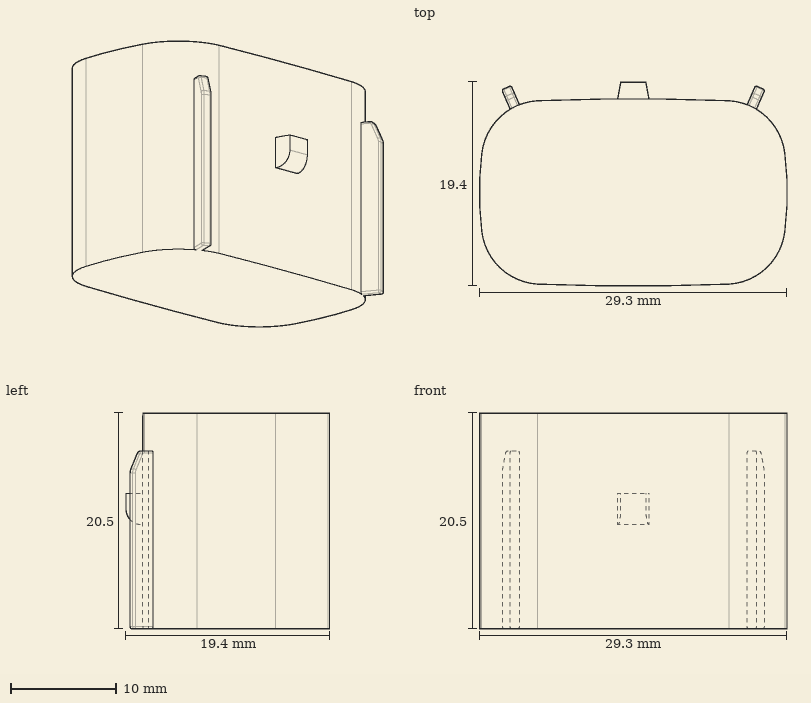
import cadquery as cq
import math

length = 29.28
depth = 17.8
height = 20.5
corner_radius = 5.7
long_side_join = 9.1
short_side_join = 3.72
long_side_sag = 0.18
short_side_sag = 0.23

rib_angle = 23.5
rib_thickness = 1.0
rib_height = 16.92
rib_root_x = 11.25
rib_root_y = 8.08
rib_reach = 2.05
rib_embed = 1.75
rib_slope_run = 0.85
rib_slope_drop = 1.9
rib_upper_bend = 0.45
rib_lower_bend = 1.0
rib_fillet = 0.2

tab_reach = 1.58
tab_base_width = 3.0
tab_tip_width = 2.4
tab_top = 12.88
tab_height = 3.0
tab_lower_radius = tab_height / 2
tab_embed = 0.6


def make_body():
    """Outline of four bulged sides and four corner arcs, raised to the full height."""
    half_length = length / 2
    half_depth = depth / 2
    end_x = half_length - short_side_sag
    side_y = half_depth - long_side_sag
    chord_x = end_x - long_side_join
    chord_y = side_y - short_side_join
    chord = math.hypot(chord_x, chord_y)
    corner_sag = corner_radius - math.sqrt(corner_radius**2 - (chord / 2) ** 2)
    corner_x = (end_x + long_side_join) / 2 + corner_sag * chord_y / chord
    corner_y = (side_y + short_side_join) / 2 + corner_sag * chord_x / chord
    return (
        cq.Workplane("XY")
        .moveTo(end_x, -short_side_join)
        .threePointArc((half_length, 0), (end_x, short_side_join))
        .threePointArc((corner_x, corner_y), (long_side_join, side_y))
        .threePointArc((0, half_depth), (-long_side_join, side_y))
        .threePointArc((-corner_x, corner_y), (-end_x, short_side_join))
        .threePointArc((-half_length, 0), (-end_x, -short_side_join))
        .threePointArc((-corner_x, -corner_y), (-long_side_join, -side_y))
        .threePointArc((0, -half_depth), (long_side_join, -side_y))
        .threePointArc((corner_x, -corner_y), (end_x, -short_side_join))
        .close()
        .extrude(height)
    )


def make_rib():
    """Rib on the +X side, drawn along +Y and then turned outward."""
    slope_top = (0, rib_reach - rib_slope_run, rib_height)
    slope_bottom = (0, rib_reach, rib_height - rib_slope_drop)
    return (
        cq.Workplane("YZ")
        .moveTo(-rib_embed, 0)
        .lineTo(rib_reach, 0)
        .lineTo(rib_reach, rib_height - rib_slope_drop)
        .lineTo(rib_reach - rib_slope_run, rib_height)
        .lineTo(-rib_embed, rib_height)
        .close()
        .extrude(rib_thickness / 2, both=True)
        .edges(cq.NearestToPointSelector(slope_top))
        .fillet(rib_upper_bend)
        .edges(cq.NearestToPointSelector(slope_bottom))
        .fillet(rib_lower_bend)
        .faces("<X or >X or <Z")
        .edges()
        .fillet(rib_fillet)
        .rotate((0, 0, 0), (0, 0, 1), -rib_angle)
        .translate((rib_root_x, rib_root_y, 0))
    )


def make_tab():
    """Side profile with a rounded lower corner, trimmed to a tapered plan."""
    back_y = depth / 2
    tip_y = back_y + tab_reach
    inner_y = back_y - tab_embed
    profile = (
        cq.Workplane("YZ")
        .moveTo(inner_y, tab_top)
        .lineTo(tip_y, tab_top)
        .lineTo(tip_y, tab_top - tab_height + tab_lower_radius)
        .radiusArc((tip_y - tab_lower_radius, tab_top - tab_height), tab_lower_radius)
        .lineTo(inner_y, tab_top - tab_height)
        .close()
        .extrude(tab_base_width, both=True)
    )
    half_base = tab_base_width / 2
    half_tip = tab_tip_width / 2
    plan = (
        cq.Workplane("XY")
        .polyline([
            (-half_base, inner_y),
            (half_base, inner_y),
            (half_base, back_y),
            (half_tip, tip_y),
            (-half_tip, tip_y),
            (-half_base, back_y),
        ])
        .close()
        .extrude(height)
    )
    return profile.intersect(plan)


right_rib = make_rib()
left_rib = right_rib.mirror("YZ")
result = make_body().union(right_rib).union(left_rib).union(make_tab())